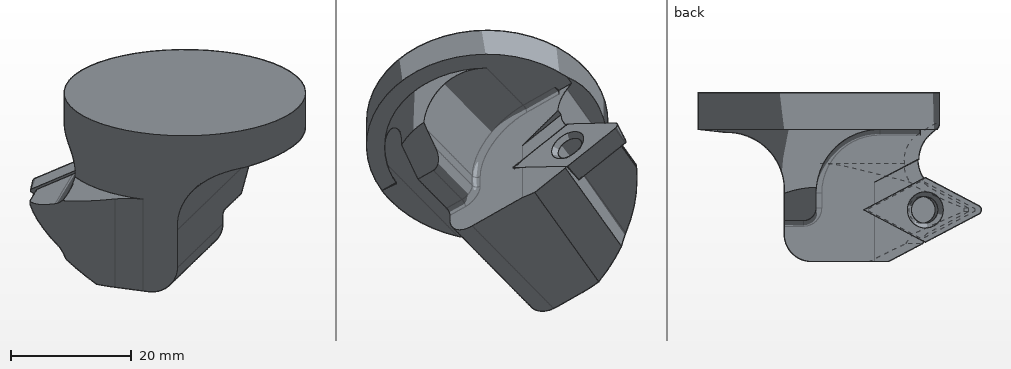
import cadquery as cq
import math

shank_radius = 19.99
head_height = 28.0
flange_height = 6.1
beyond = 37.5

head_wall_x = 5.75
relief_radius = 9.37
relief_height = 10.1
relief_run_out_x = 15.45
relief_run_out_z = -6.6
bottom_round = 4.6
neck_radius = 16.95
neck_chamfer_z = -15.65

swell_flat_start_x = -4.95
swell_radius = 22.05
swell_top_z = -11.7

gullet_y = 2.6
gullet_wall_x = 0.45
gullet_radius = 10.55
gullet_bottom_z = -21.2
gullet_edge_round = 2.1
gullet_fillet = 0.95

rake_angle = 8.3
tip_x = -46.85 + shank_radius
tip_z = -19.4
nose_half_angle = math.radians(27.5)
inscribed_diameter = 9.5
insert_thickness = 3.95
insert_relief = 7.0
nose_radius = 0.8
hole_diameter = 4.4
countersink_diameter = 6.0
half_length = inscribed_diameter / 2 / math.sin(nose_half_angle)
half_height = inscribed_diameter / 2 / math.cos(nose_half_angle)
nose_setback = nose_radius / math.sin(nose_half_angle) - nose_radius
sharp_tip = -nose_setback
insert_center = sharp_tip + half_length

flank_slope = math.tan(nose_half_angle)
flank_tip = 1.55
flank_tip_half_height = 0.3
pocket_top = 8.4
pocket_corner = 10.55
groove_radius = 5.55
groove_center = 5.05
groove_exit_angle = math.radians(42)
step_start_drop = 3.9
step_end_drop = 5.6
step_bulge = 0.15

rake_direction = (math.cos(math.radians(rake_angle)), math.sin(math.radians(rake_angle)), 0)
rake_normal = (-rake_direction[1], rake_direction[0], 0)
rake_plane = cq.Plane(origin=(tip_x, 0, tip_z), xDir=rake_direction,
                      normal=tuple(-n for n in rake_normal))


def make_insert_blank():
    """Solid rhombic insert, tapering away from its rake face."""
    nose_run = nose_radius * (1 - math.sin(nose_half_angle))
    nose_rise = nose_radius * math.cos(nose_half_angle)
    return (
        cq.Workplane(rake_plane)
        .moveTo(nose_run, -nose_rise)
        .lineTo(insert_center, -half_height)
        .lineTo(insert_center + half_length, 0)
        .lineTo(insert_center, half_height)
        .lineTo(nose_run, nose_rise)
        .threePointArc((0, 0), (nose_run, -nose_rise))
        .close()
        .extrude(insert_thickness, taper=insert_relief)
    )


def make_insert():
    """Insert with its countersunk screw hole."""
    hole_circle = cq.Workplane(rake_plane).center(insert_center, 0)
    hole = hole_circle.circle(hole_diameter / 2).extrude(insert_thickness)
    countersink = hole_circle.circle(countersink_diameter / 2).extrude(
        (countersink_diameter - hole_diameter) / 2, taper=45)
    return make_insert_blank().cut(hole).cut(countersink)


def make_head_blank():
    """Shank cylinder with the head swelling out towards the tip."""
    shank = cq.Workplane("XY").circle(shank_radius).extrude(-head_height)
    center_y = swell_radius - shank_radius
    diagonal = swell_radius / math.sqrt(2)
    swell = (
        cq.Workplane("XY", origin=(0, 0, -head_height))
        .moveTo(0, -shank_radius)
        .lineTo(swell_flat_start_x, -shank_radius)
        .threePointArc((swell_flat_start_x - diagonal, center_y - diagonal),
                       (swell_flat_start_x - swell_radius, center_y))
        .lineTo(swell_flat_start_x - swell_radius, gullet_y)
        .lineTo(0, gullet_y)
        .close()
        .extrude(head_height + swell_top_z)
    )
    cone_drop = head_height + swell_top_z
    cone = (
        cq.Workplane("XZ")
        .polyline([
            (0, -head_height),
            (shank_radius + cone_drop, -head_height),
            (shank_radius, swell_top_z),
            (0, swell_top_z),
        ])
        .close()
        .revolve(360, (0, 0, 0), (0, 1, 0))
    )
    return shank.union(swell.intersect(cone))


def make_side_relief():
    """Space below the flange on the +X side of the head."""
    corner = bottom_round * (1 - math.sqrt(0.5))
    arc_end_z = relief_run_out_z - relief_height
    hollow = relief_radius * (1 - math.sqrt(0.5))
    return (
        cq.Workplane("XZ", origin=(0, beyond, 0))
        .moveTo(shank_radius, -flange_height)
        .lineTo(relief_run_out_x, relief_run_out_z)
        .threePointArc((head_wall_x + hollow, relief_run_out_z - hollow), (head_wall_x, arc_end_z))
        .lineTo(head_wall_x, bottom_round - head_height)
        .threePointArc((head_wall_x - corner, corner - head_height),
                       (head_wall_x - bottom_round, -head_height))
        .lineTo(head_wall_x - bottom_round, -beyond)
        .lineTo(beyond, -beyond)
        .lineTo(beyond, -flange_height)
        .close()
        .extrude(2 * beyond)
    )


def make_neck_relief():
    """Ring and chamfer that bring the +Y side of the head down to the neck."""
    below_flange = cq.Workplane("XY", origin=(0, 0, -flange_height))
    ring = below_flange.circle(beyond).circle(neck_radius).extrude(-beyond)
    back_half = below_flange.center(0, gullet_y + beyond).rect(2 * beyond, 2 * beyond).extrude(-beyond)
    chamfer_run = head_height + neck_chamfer_z
    chamfer = (
        cq.Workplane("YZ", origin=(-beyond, 0, 0))
        .polyline([
            (neck_radius, neck_chamfer_z),
            (neck_radius, -head_height),
            (neck_radius - chamfer_run, -head_height),
        ])
        .close()
        .extrude(2 * beyond)
    )
    return ring.union(chamfer).intersect(back_half)


def make_gullet():
    """Space behind the rake face, rounded where it meets that face."""
    hollow = gullet_radius * (1 - math.sqrt(0.5))
    edge = gullet_edge_round * (1 - math.sqrt(0.5))
    return (
        cq.Workplane("XZ", origin=(0, gullet_y, 0))
        .moveTo(-beyond, -flange_height)
        .lineTo(gullet_wall_x - gullet_radius, -flange_height)
        .threePointArc((gullet_wall_x - hollow, -flange_height - hollow),
                       (gullet_wall_x, -flange_height - gullet_radius))
        .lineTo(gullet_wall_x, gullet_bottom_z + gullet_edge_round)
        .threePointArc((gullet_wall_x + edge, gullet_bottom_z + edge),
                       (gullet_wall_x + gullet_edge_round, gullet_bottom_z))
        .lineTo(beyond, gullet_bottom_z)
        .lineTo(beyond, -beyond)
        .lineTo(-beyond, -beyond)
        .close()
        .extrude(-beyond)
        .faces("<Y")
        .edges()
        .fillet(gullet_fillet)
    )


def make_rake_pocket():
    """Clears the rake face in line with the insert."""
    return (
        cq.Workplane(rake_plane)
        .moveTo(-beyond, -beyond)
        .lineTo(beyond, -beyond)
        .lineTo(beyond, pocket_top - (beyond - pocket_corner) * flank_slope)
        .lineTo(pocket_corner, pocket_top)
        .lineTo(-beyond, pocket_top)
        .close()
        .extrude(-beyond)
        .intersect(cq.Workplane("XY").box(4 * beyond, beyond, 4 * beyond)
                   .translate((0, gullet_y - beyond / 2, 0)))
    )


def make_flank_relief():
    """Groove and wedge flanks that run square to the rake face."""
    groove_height = (flank_tip_half_height + (groove_center - flank_tip) * flank_slope
                     + groove_radius / math.cos(nose_half_angle))
    groove_end = (groove_center + groove_radius * math.sin(nose_half_angle),
                  groove_height - groove_radius * math.cos(nose_half_angle))
    groove_start = (groove_center + groove_radius * math.sin(groove_exit_angle),
                    groove_height + groove_radius * math.cos(groove_exit_angle))
    exit_run = groove_start[0] + beyond
    step_start = flank_tip + (step_start_drop - flank_tip_half_height) / flank_slope
    step_end = sharp_tip + step_end_drop / flank_slope
    return (
        cq.Workplane(rake_plane)
        .workplane(offset=-beyond)
        .moveTo(-beyond, groove_start[1] + exit_run * math.tan(groove_exit_angle))
        .lineTo(*groove_start)
        .threePointArc((groove_center + groove_radius, groove_height), groove_end)
        .lineTo(flank_tip, flank_tip_half_height)
        .lineTo(flank_tip, -flank_tip_half_height)
        .lineTo(step_start, -step_start_drop)
        .threePointArc(((step_start + step_end) / 2 + step_bulge,
                        -(step_start_drop + step_end_drop) / 2), (step_end, -step_end_drop))
        .lineTo(sharp_tip + beyond / flank_slope, -beyond)
        .lineTo(-beyond, -beyond)
        .close()
        .extrude(2 * beyond)
    )


def make_holder():
    """Shank and head with a seat that matches the insert."""
    return (
        make_head_blank()
        .cut(make_side_relief())
        .cut(make_neck_relief())
        .cut(make_gullet())
        .cut(make_rake_pocket())
        .cut(make_flank_relief())
        .cut(make_insert_blank())
    )


holder = make_holder()
insert = make_insert()
result = cq.Compound.makeCompound([holder.solids().val(), insert.solids().val()])